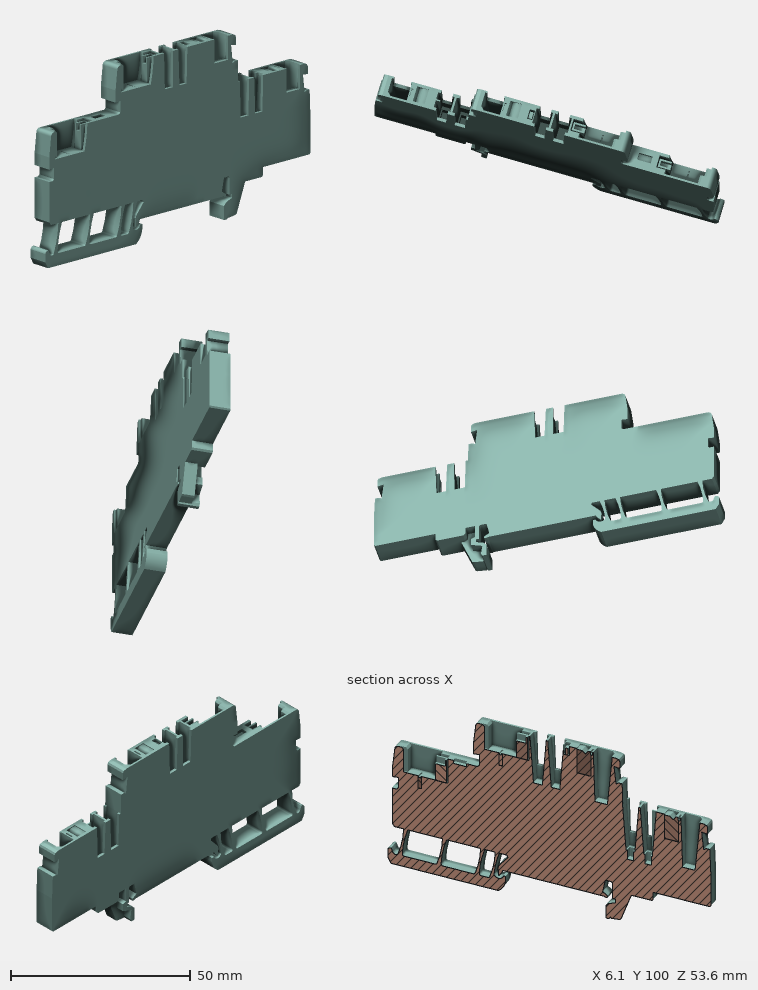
import cadquery as cq


WIDTH = 6.1
HALF_WIDTH = WIDTH / 2
UPPER_TOP = 53.6
LEVEL_PITCH_Z = 14.3
LOWER_TOP = UPPER_TOP - LEVEL_PITCH_Z
BODY_BOTTOM = 12.4
RAIL_SEAT = 7.0

WIRE_PITCH_Y = -27.1
BRIDGE_PITCH_Y = -28.6
PLUG_PITCH_Y = 25.0

WIRE_LEVELS = [(0, LOWER_TOP), (WIRE_PITCH_Y, UPPER_TOP)]
BRIDGE_LEVELS = [(0, LOWER_TOP), (BRIDGE_PITCH_Y, UPPER_TOP)]
PLUG_LEVELS = [(0, LOWER_TOP), (PLUG_PITCH_Y, UPPER_TOP)]

SLOT_DEPTH = 10.6
SLOT_HALF_WIDTH = 2.2
WELL_DEPTH = 15.0
SLOTS = [
    {"top": (28.8, 32.2), "floor": (29.2, 31.9), "wide_top": (28.2, 33.0), "wide_floor": (29.3, 31.8)},
    {"top": (23.4, 26.8), "floor": (23.7, 26.7), "wide_top": (22.7, 27.6), "wide_floor": (23.8, 26.4)},
]
SLOT_HOLE_WIDTH = 2.6
SLOT_HOLE_LENGTH = 1.8
SLOT_HOLE_DEPTH = 3.0
RIB_THICKNESS = 0.4

FUNNEL_DEPTH = 16.0
FUNNEL_MOUTH = (-2.5, 40.8, 2.5, 46.5)
FUNNEL_THROAT = (-1.9, 41.3, 1.3, 45.0)
FUNNEL_CORNER = 1.0
THROAT_CORNER = 0.2
SIDE_DIP = (41.0, 46.0)
SIDE_DIP_DEPTH = 7.0
SIDE_DIP_START_X = 2.0

PUSHER_HALF_WIDTH = 2.2
PUSHER_Y = (35.7, 39.9)
PUSHER_DEPTH = 8.0
PUSHER_RECESS = 0.3
PUSHER_GROOVE = (37.3, 38.3, 39.1)
PUSHER_GROOVE_DEPTH = 1.2
RELIEF_HALF_WIDTH = 1.2
RELIEF_LENGTH = 0.5
RELIEF_DEPTH = 1.0

BAY_DEPTH = 8.0
BAY_WALL_X = -2.5
BAY_BACK_Y = -34.1
BAY_CURVE_LENGTH = 1.1
BAY_STEP_X = 0
BAY_OUTLET_X = 2.4
BAY_END_Y = -46.4
BAY_STEPS = [(BAY_WALL_X, BAY_STEP_X, -43.8), (BAY_STEP_X, BAY_OUTLET_X, -45.0)]
BAY_STEP_LIP = 0.6

CLIP_POCKET_X = (-1.3, 2.2)
CLIP_POCKET_BACK = -31.4
CLIP_X = (-0.9, 1.5)
CLIP_BACK = -31.7
CLIP_WALL = 0.5
CLIP_RECESS = 0.6
CLIP_FLOOR_DROP = 2.0
CLIP_HEIGHT = BAY_DEPTH - CLIP_RECESS

BAR_X = (-1.6, 2.2)
BAR_Y = (-40.5, -39.6)
BAR_HEIGHT = 4.0
BAR_GROOVE_DEPTH = 0.5
BAR_GROOVE_WALL = 0.2
BAR_HOLE_DIAMETER = 0.5

MARKER_X = (-0.7, 1.3)
MARKER_Y = (-29.6, -25.7)
MARKER_DEPTH = 1.0

INDICATOR_POCKET_HALF = 1.4
INDICATOR_POCKET_Y = (4.6, 6.1)
INDICATOR_POCKET_DEPTH = 3.0
INDICATOR_HALF = 1.0
INDICATOR_Y = (4.9, 5.9)
INDICATOR_HEIGHT = 2.2

END_CORNER_Y = -47.7
END_CORNER_RADIUS = 1.2
NOTCH_ROOT_Y = -46.7
NOTCH_CHAMFER = 0.5

FOOT_TOP = 3.6
STRUT_MIDDLE = (FOOT_TOP + BODY_BOTTOM) / 2
STRUT_TOPS = (-15.4, -19.9, -31.7, -43.7)
STRUT_TOP_WIDTH = 1.4
STRUT_WAIST = 0.7
STRUT_BOTTOM_WIDTH = 1.5
STRUT_LEAN_MIDDLE = 1.2
STRUT_LEAN = 1.7
STRUT_FILLET = 0.6

WEB_START_X = -0.6


def box(x_range, y_range, z_range):
    """Box between the given limits."""
    x0, x1 = x_range
    y0, y1 = y_range
    z0, z1 = z_range
    corner = (x0, y0, z0)
    return cq.Workplane(cq.Solid.makeBox(x1 - x0, y1 - y0, z1 - z0, cq.Vector(*corner)))


def extrude_across(outline, x0=-HALF_WIDTH, x1=HALF_WIDTH):
    """Extrude a closed YZ outline from x0 to x1."""
    return outline.extrude(x1 - x0).translate((x0, 0, 0))


def side_plate(points, x0=-HALF_WIDTH, x1=HALF_WIDTH):
    """Plate with a straight-sided (Y, Z) outline, from x0 to x1."""
    return extrude_across(cq.Workplane("YZ").polyline(points).close(), x0, x1)


def edges_near(y, z):
    """Selector for the edge along X at the given Y and Z."""
    reach = 0.1
    return cq.selectors.BoxSelector((-reach, y - reach, z - reach), (reach, y + reach, z + reach))


def wire_end(dy, top):
    """Outline of a +Y end, from its side up round the finger grip to the top."""
    return [
        (49.7 + dy, top - 7.9),
        (48.5 + dy, top - 7.9),
        (47.8 + dy, top - 8.4),
        (47.2 + dy, top - 3.0),
        (49.0 + dy, top - 3.3),
        (49.0 + dy, top - 0.9),
        (48.7 + dy, top - 0.3),
        (47.7 + dy, top),
    ]


def plug_end(dy, top):
    """Outline of a -Y end, from the top down to the root of its notch."""
    return [
        (END_CORNER_Y + dy, top),
        (-48.5 + dy, top - 7.0),
        (-48.5 + dy, top - 10.6),
        (NOTCH_ROOT_Y + dy, top - 10.4),
    ]


def body_plate():
    """Main plate with the spring latch, the rail claws and both levels."""
    ends_and_tops = [
        (50.0, BODY_BOTTOM + 0.4),
        (50.0, 24.0),
        *wire_end(0, LOWER_TOP),
        (22.8, LOWER_TOP),
        *wire_end(WIRE_PITCH_Y, UPPER_TOP),
        *plug_end(PLUG_PITCH_Y, UPPER_TOP),
        (NOTCH_ROOT_Y + PLUG_PITCH_Y, LOWER_TOP + NOTCH_CHAMFER),
        (NOTCH_ROOT_Y - NOTCH_CHAMFER + PLUG_PITCH_Y, LOWER_TOP),
        *plug_end(0, LOWER_TOP),
        (NOTCH_ROOT_Y, 25.1 + NOTCH_CHAMFER),
        (NOTCH_ROOT_Y - NOTCH_CHAMFER, 25.1),
        (-48.5, 25.1),
        (-48.5, BODY_BOTTOM + 0.9),
        (-47.9, BODY_BOTTOM),
    ]
    fixed_claw = [
        (-13.1, BODY_BOTTOM),
        (-12.9, 11.7),
        (-15.6, 8.5),
        (-15.9, 7.6),
        (-15.7, 4.9),
        (-14.6, 6.2),
        (-14.3, RAIL_SEAT),
    ]
    seat_nose = [
        (17.0, RAIL_SEAT),
        (17.3, RAIL_SEAT - 0.2),
        (18.1, RAIL_SEAT - 0.2),
        (18.1, 7.5),
        (16.6, 8.5),
        (17.4, BODY_BOTTOM),
    ]
    latch = [
        (19.2, BODY_BOTTOM),
        (19.5, BODY_BOTTOM - 0.4),
        (19.5, RAIL_SEAT),
        (20.4, RAIL_SEAT),
        (20.4, 5.9),
        (18.3, 5.1),
        (17.4, 4.1),
        (17.4, 0),
        (18.6, 0),
        (19.0, 0.9),
        (18.6, 3.9),
        (21.9, 5.2),
        (21.9, 7.6),
        (20.7, 8.0),
        (20.7, BODY_BOTTOM),
    ]
    lower_pad = [
        (23.5, BODY_BOTTOM),
        (23.5, 10.3),
        (24.2, 9.6),
        (31.7, 9.6),
        (32.2, 10.1),
        (32.2, BODY_BOTTOM),
        (49.6, BODY_BOTTOM),
    ]
    plate = side_plate(ends_and_tops + fixed_claw + seat_nose + latch + lower_pad)
    for dy, top in PLUG_LEVELS:
        corner = edges_near(END_CORNER_Y + dy, top)
        plate = plate.edges(corner).fillet(END_CORNER_RADIUS)
    return plate


def latch_web():
    """Thin web that backs the spring latch on the +X side."""
    points = [
        (20.7, BODY_BOTTOM),
        (23.5, BODY_BOTTOM),
        (25.4, 9.6),
        (22.2, 0.9),
        (21.6, 0.6),
        (19.0, 0.3),
        (18.6, 3.9),
        (21.9, 5.2),
        (21.9, 7.6),
        (20.7, 8.0),
    ]
    return side_plate(points, WEB_START_X, HALF_WIDTH)


def strut(y_top):
    """Waisted, leaning strut between the body and the foot."""
    y_bottom = y_top - STRUT_LEAN
    y_middle = y_top - STRUT_LEAN_MIDDLE
    outline = (
        cq.Workplane("YZ")
        .moveTo(y_top, BODY_BOTTOM)
        .threePointArc((y_middle, STRUT_MIDDLE), (y_bottom, FOOT_TOP))
        .lineTo(y_bottom - STRUT_BOTTOM_WIDTH, FOOT_TOP)
        .threePointArc((y_middle - STRUT_WAIST, STRUT_MIDDLE), (y_top - STRUT_TOP_WIDTH, BODY_BOTTOM))
        .close()
    )
    return extrude_across(outline)


def foot_rail():
    """Long bar of the foot, with a hooked tip at each end."""
    outline = (
        cq.Workplane("YZ")
        .moveTo(-13.4, 5.4)
        .lineTo(-14.2, 5.4)
        .threePointArc((-15.7, 4.2), (-17.1, 5.2))
        .lineTo(-18.2, FOOT_TOP)
        .lineTo(-46.9, FOOT_TOP)
        .threePointArc((-47.6, 3.4), (-48.4, 4.2))
        .lineTo(-48.8, 5.2)
        .lineTo(-49.2, 5.2)
        .threePointArc((-49.7, 4.9), (-50.0, 4.4))
        .lineTo(-50.0, 1.9)
        .lineTo(-49.0, 0)
        .lineTo(-15.8, 0)
        .threePointArc((-14.1, 1.8), (-13.4, 4.0))
        .close()
    )
    return extrude_across(outline)


def tapered_slot(top_edges, floor_edges, top, depth, half_width):
    """Slot with sloping walls between the given Y limits at its top and floor."""
    points = [
        (floor_edges[0], top - depth),
        (floor_edges[1], top - depth),
        (top_edges[1], top),
        (top_edges[0], top),
    ]
    return side_plate(points, -half_width, half_width)


def slot_cut(slot, dy, top):
    """One bridge slot: a through cut with a wider and deeper middle."""
    through = tapered_slot(slot["top"], slot["floor"], top, SLOT_DEPTH, HALF_WIDTH)
    well = tapered_slot(slot["wide_top"], slot["wide_floor"], top, WELL_DEPTH, SLOT_HALF_WIDTH)
    return through.union(well).translate((0, dy, 0))


def slot_hole(slot):
    """Contact opening in the floor of a lower bridge slot."""
    centre = sum(slot["wide_floor"]) / 2
    floor = LOWER_TOP - WELL_DEPTH
    return box(
        (-SLOT_HOLE_WIDTH / 2, SLOT_HOLE_WIDTH / 2),
        (centre - SLOT_HOLE_LENGTH / 2, centre + SLOT_HOLE_LENGTH / 2),
        (floor - SLOT_HOLE_DEPTH, floor),
    )


def slot_rib():
    """Thin upright rib on the sloping +Y wall of the first lower slot."""
    slot = SLOTS[0]
    y_floor = slot["wide_floor"][1]
    points = [
        (y_floor, LOWER_TOP - WELL_DEPTH),
        (y_floor, LOWER_TOP),
        (slot["wide_top"][1], LOWER_TOP),
    ]
    return side_plate(points, -RIB_THICKNESS / 2, RIB_THICKNESS / 2)


def funnel_cut(dy, top):
    """Tapered wire funnel, with the +X wall beside it lowered."""
    mouth_x0, mouth_y0, mouth_x1, mouth_y1 = FUNNEL_MOUTH
    throat_x0, throat_y0, throat_x1, throat_y1 = FUNNEL_THROAT
    mouth = [
        (mouth_x0, mouth_y0),
        (mouth_x1, mouth_y0),
        (mouth_x1, mouth_y1),
        (mouth_x0 + FUNNEL_CORNER, mouth_y1),
        (mouth_x0, mouth_y1 - FUNNEL_CORNER),
    ]
    throat = [
        (throat_x0, throat_y0),
        (throat_x1, throat_y0),
        (throat_x1, throat_y1),
        (throat_x0 + THROAT_CORNER, throat_y1),
        (throat_x0, throat_y1 - THROAT_CORNER),
    ]
    funnel = (
        cq.Workplane("XY", origin=(0, dy, top))
        .polyline(mouth)
        .close()
        .workplane(offset=-FUNNEL_DEPTH)
        .polyline(throat)
        .close()
        .loft(ruled=True)
    )
    dip = box(
        (SIDE_DIP_START_X, HALF_WIDTH),
        (SIDE_DIP[0] + dy, SIDE_DIP[1] + dy),
        (top - SIDE_DIP_DEPTH, top),
    )
    return funnel.union(dip)


def pusher_pocket(dy, top):
    """Pocket that takes a pusher, with a small relief towards the funnel."""
    y0, y1 = PUSHER_Y
    pocket = box((-PUSHER_HALF_WIDTH, PUSHER_HALF_WIDTH), (y0 + dy, y1 + dy), (top - PUSHER_DEPTH, top))
    relief = box(
        (-RELIEF_HALF_WIDTH, RELIEF_HALF_WIDTH),
        (y1 + dy, y1 + RELIEF_LENGTH + dy),
        (top - RELIEF_DEPTH, top),
    )
    return pocket.union(relief)


def pusher(dy, top):
    """Release pusher with a V-groove across its top."""
    y0, y1 = PUSHER_Y
    groove_start, groove_bottom, groove_end = PUSHER_GROOVE
    points = [
        (y0 + dy, top - PUSHER_DEPTH),
        (y0 + dy, top - PUSHER_RECESS),
        (groove_start + dy, top - PUSHER_RECESS),
        (groove_bottom + dy, top - PUSHER_GROOVE_DEPTH),
        (groove_end + dy, top),
        (y1 + dy, top),
        (y1 + dy, top - PUSHER_DEPTH),
    ]
    return side_plate(points, -PUSHER_HALF_WIDTH, PUSHER_HALF_WIDTH)


def plug_bay_cut(dy, top):
    """Plug bay, open to +X, with a curved back wall and a stepped end."""
    floor = top - BAY_DEPTH
    plan = [
        (BAY_WALL_X, BAY_BACK_Y + dy),
        (HALF_WIDTH, BAY_BACK_Y + dy),
        (HALF_WIDTH, BAY_END_Y + dy),
        (BAY_OUTLET_X, BAY_END_Y + dy),
    ]
    for x0, x1, y_edge in reversed(BAY_STEPS):
        plan += [(x1, y_edge + dy), (x0, y_edge + dy)]
    bay = cq.Workplane("XY", origin=(0, 0, floor)).polyline(plan).close().extrude(BAY_DEPTH)

    back_wall = (
        cq.Workplane("YZ")
        .moveTo(BAY_BACK_Y + dy, top)
        .threePointArc(
            (BAY_BACK_Y - BAY_CURVE_LENGTH / 3 + dy, top - BAY_DEPTH / 2),
            (BAY_BACK_Y - BAY_CURVE_LENGTH + dy, floor),
        )
        .lineTo(BAY_BACK_Y + dy, floor)
        .close()
    )
    bay = bay.cut(extrude_across(back_wall, BAY_WALL_X, HALF_WIDTH))

    for x0, x1, y_edge in BAY_STEPS:
        ramp = [
            (y_edge + dy, top),
            (y_edge - BAY_STEP_LIP + dy, top),
            (y_edge + dy, top - BAY_STEP_LIP),
        ]
        bay = bay.union(side_plate(ramp, x0, x1))
    return bay


def clip_pocket(dy, top):
    """Pocket for a clip, open to the plug bay."""
    front = BAY_BACK_Y - BAY_CURVE_LENGTH
    return box(CLIP_POCKET_X, (front + dy, CLIP_POCKET_BACK + dy), (top - BAY_DEPTH, top))


def clip(dy, top):
    """U-shaped clip, open towards -Y, with a low floor between its arms."""
    base = top - BAY_DEPTH
    clip_top = base + CLIP_HEIGHT
    front = BAY_BACK_Y - BAY_CURVE_LENGTH
    outer = box(CLIP_X, (front + dy, CLIP_BACK + dy), (base, clip_top))
    channel = box(
        (CLIP_X[0] + CLIP_WALL, CLIP_X[1] - CLIP_WALL),
        (front + dy, CLIP_BACK - CLIP_WALL + dy),
        (clip_top - CLIP_FLOOR_DROP, clip_top),
    )
    return outer.cut(channel)


def bar_pocket(dy, top):
    """Pocket for a contact bar in the floor of the plug bay."""
    floor = top - BAY_DEPTH
    return box(BAR_X, (BAR_Y[0] + dy, BAR_Y[1] + dy), (floor - BAR_HEIGHT, floor))


def contact_bar(dy, top):
    """Contact bar with a groove along its top and a round hole at one end."""
    floor = top - BAY_DEPTH
    hole_end = BAR_X[1] - BAR_Y[1] + BAR_Y[0]
    bar = bar_pocket(dy, top)
    groove = box(
        (BAR_X[0] + BAR_GROOVE_WALL, hole_end - BAR_GROOVE_WALL),
        (BAR_Y[0] + BAR_GROOVE_WALL + dy, BAR_Y[1] - BAR_GROOVE_WALL + dy),
        (floor - BAR_GROOVE_DEPTH, floor),
    )
    hole = (
        cq.Workplane("XY", origin=((hole_end + BAR_X[1]) / 2, sum(BAR_Y) / 2 + dy, floor))
        .circle(BAR_HOLE_DIAMETER / 2)
        .extrude(-BAR_GROOVE_DEPTH)
    )
    return bar.cut(groove).cut(hole)


def marker_pocket():
    """Shallow marker pocket on the lower step."""
    return box(MARKER_X, MARKER_Y, (LOWER_TOP - MARKER_DEPTH, LOWER_TOP))


def indicator_pocket():
    """Pocket for the indicator in the upper top face."""
    return box(
        (-INDICATOR_POCKET_HALF, INDICATOR_POCKET_HALF),
        INDICATOR_POCKET_Y,
        (UPPER_TOP - INDICATOR_POCKET_DEPTH, UPPER_TOP),
    )


def make_indicator():
    """Small block standing on the floor of the indicator pocket."""
    base = UPPER_TOP - INDICATOR_POCKET_DEPTH
    return box((-INDICATOR_HALF, INDICATOR_HALF), INDICATOR_Y, (base, base + INDICATOR_HEIGHT))


def mounting_foot():
    """Foot rail and struts, with rounded corners inside the windows between the struts."""
    foot = foot_rail()
    for y_top in STRUT_TOPS:
        foot = foot.union(strut(y_top))
    for before, after in zip(STRUT_TOPS, STRUT_TOPS[1:]):
        window_start = before - STRUT_LEAN - STRUT_BOTTOM_WIDTH
        window_end = after - STRUT_LEAN
        for y in (window_start, window_end):
            foot = foot.edges(edges_near(y, FOOT_TOP)).fillet(STRUT_FILLET)
    return foot


def make_housing():
    """Housing: plate, latch web and foot, with all its slots and pockets."""
    housing = body_plate().union(latch_web()).union(mounting_foot())
    for level in BRIDGE_LEVELS:
        for slot in SLOTS:
            housing = housing.cut(slot_cut(slot, *level))
    for slot in SLOTS:
        housing = housing.cut(slot_hole(slot))
    housing = housing.union(slot_rib())
    for level in WIRE_LEVELS:
        housing = housing.cut(funnel_cut(*level)).cut(pusher_pocket(*level))
    for level in PLUG_LEVELS:
        housing = housing.cut(plug_bay_cut(*level)).cut(clip_pocket(*level)).cut(bar_pocket(*level))
    return housing.cut(marker_pocket()).cut(indicator_pocket())


housing = make_housing()
pushers = [pusher(*level) for level in WIRE_LEVELS]
clips = [clip(*level) for level in PLUG_LEVELS]
contact_bars = [contact_bar(*level) for level in PLUG_LEVELS]
indicator = make_indicator()

bodies = [housing, *pushers, *clips, *contact_bars, indicator]
result = cq.Compound.makeCompound([body.val() for body in bodies])